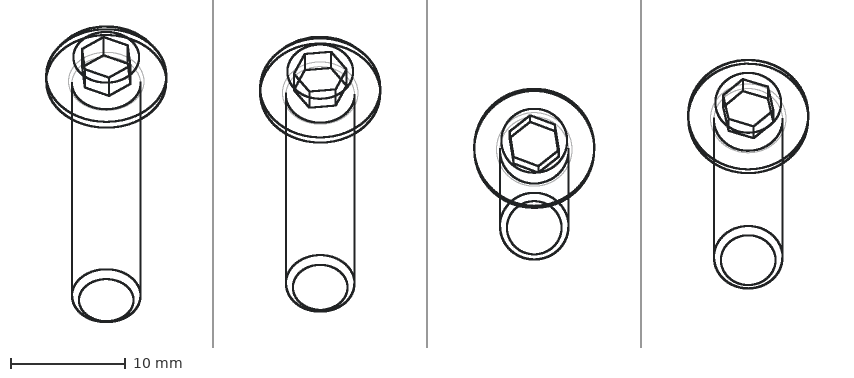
import cadquery as cq
import math

thread_diameter = 6.0
shank_length = 30.0
tip_chamfer = 0.613

head_diameter = 10.5
head_height = 3.3
rim_height = 0.8
crown_diameter = 5.75
dome_radius = 4.2
neck_fillet = 0.3

socket_sides = 6
socket_across_flats = 4.0
socket_depth = 2.5

shank_radius = thread_diameter / 2
head_radius = head_diameter / 2
crown_radius = crown_diameter / 2


def make_body():
    """Revolve the half outline of shank and head about the Z axis."""
    outline = (
        cq.Workplane("XZ")
        .moveTo(0, -shank_length)
        .lineTo(shank_radius - tip_chamfer, -shank_length)
        .lineTo(shank_radius, -shank_length + tip_chamfer)
        .lineTo(shank_radius, -neck_fillet)
        .radiusArc((shank_radius + neck_fillet, 0), neck_fillet)
        .lineTo(head_radius, 0)
        .lineTo(head_radius, rim_height)
        .radiusArc((crown_radius, head_height), -dome_radius)
        .lineTo(0, head_height)
        .close()
    )
    return outline.revolve(360, (0, 0, 0), (0, 1, 0))


def make_socket():
    """Hexagonal socket with two corners in the YZ plane and flats facing +X and -X."""
    across_corners = socket_across_flats / math.cos(math.pi / socket_sides)
    return (
        cq.Workplane("XY")
        .workplane(offset=head_height - socket_depth)
        .transformed(rotate=(0, 0, 90))
        .polygon(socket_sides, across_corners)
        .extrude(socket_depth)
    )


result = make_body().cut(make_socket())